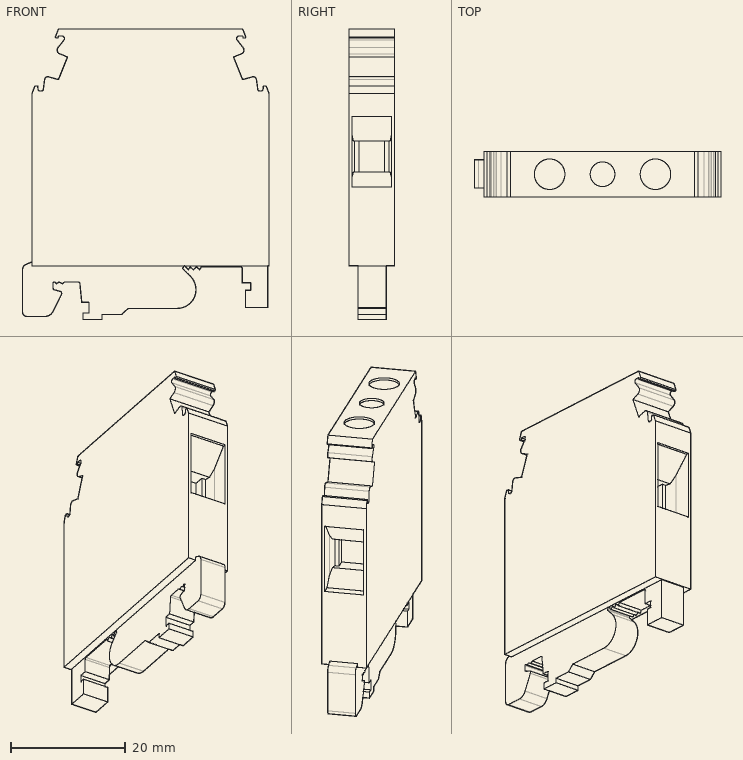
import cadquery as cq
import math


housing_thickness = 8.05
housing_half_length = 20.8
housing_bottom = 9.4
housing_top = 50.95

screw_diameter = 5.35
screw_spacing = 9.25
test_diameter = 4.35
recess_depth = 0.4

entry_width = 7.0
entry_bottom = 23.2
entry_top = 35.55
entry_floor_lip = 1.8
entry_roof_lip = 0.5
throat_bottom = 25.85
throat_top = 31.25
throat_start_depth = 4.75
taper_start_depth = 3.5
taper_end_depth = 5.7
taper_end_width = 6.0
throat_width = 4.5
throat_depth = 7.65

foot_back = 2.55
foot_thickness = 5.0
foot_left = -22.45
foot_bottom = 0
hook_bottom = 0.5
foot_top = 10.3
rail_seat = 6.55
rail_ceiling = 9.2
rail_tooth_height = 0.5
hook_tooth_height = 0.3
latch_x = 4.8
latch_z = 5.25
latch_radius = 3.3
post_right = 20.6
post_bottom = 2.1


def outline_wire(corners):
    """Closed XZ outline from (x, z, radius) corners; a radius of 0 keeps the corner sharp."""
    stretches = []
    for i, (x, z, radius) in enumerate(corners):
        corner = cq.Vector(x, z)
        if radius == 0:
            stretches.append([corner])
            continue
        before = corners[i - 1]
        after = corners[(i + 1) % len(corners)]
        to_before = (cq.Vector(before[0], before[1]) - corner).normalized()
        to_after = (cq.Vector(after[0], after[1]) - corner).normalized()
        half_angle = to_before.getAngle(to_after) / 2
        tangent_length = radius / math.tan(half_angle)
        arc_offset = radius / math.sin(half_angle) - radius
        start = corner + to_before * tangent_length
        middle = corner + (to_before + to_after).normalized() * arc_offset
        end = corner + to_after * tangent_length
        stretches.append([start, middle, end])

    first = stretches[0][0]
    sketch = cq.Workplane("XZ").moveTo(first.x, first.y)
    for i, stretch in enumerate(stretches):
        if i > 0:
            sketch = sketch.lineTo(stretch[0].x, stretch[0].y)
        if len(stretch) > 1:
            sketch = sketch.threePointArc(stretch[1].toTuple()[:2], stretch[2].toTuple()[:2])
    return sketch.close()


def slab(sketch, back, thickness):
    """Extrude an XZ sketch from y = back toward -Y."""
    return sketch.extrude(thickness).translate((0, back, 0))


def mirrored_pair(solid):
    return solid.union(solid.mirror("YZ"))


left_end = [
    (-16.15, housing_top, 0),
    (-16.7, 49.5, 0),
    (-16.55, 49.3, 0),
    (-16.2, 49.3, 0),
    (-16.15, 49.65, 0),
    (-14.65, 49.65, 0.4),
    (-16.8, 46.9, 0.7),
    (-14.55, 46.0, 0),
    (-16.15, 42.05, 0),
    (-18.5, 42.75, 0.6),
    (-18.85, 40.1, 0.25),
    (-19.65, 40.1, 0.25),
    (-19.75, 40.95, 0),
    (-20.25, 40.95, 0),
    (-housing_half_length, 39.6, 0),
    (-housing_half_length, housing_bottom, 0),
]
right_end = [(-x, z, radius) for x, z, radius in reversed(left_end)]
housing = slab(outline_wire(left_end + right_end), housing_thickness / 2, housing_thickness)


def wire_entry():
    """Cutter for the -X end: lipped mouth, sloped roof and floor, tapered sides, narrow throat."""
    mouth = -housing_half_length
    side_profile = (
        cq.Workplane("XZ")
        .moveTo(mouth, entry_bottom)
        .lineTo(mouth + entry_floor_lip, entry_bottom)
        .lineTo(mouth + throat_start_depth, throat_bottom)
        .lineTo(mouth + throat_depth, throat_bottom)
        .lineTo(mouth + throat_depth, throat_top)
        .lineTo(mouth + throat_start_depth, throat_top)
        .lineTo(mouth + entry_roof_lip, entry_top)
        .lineTo(mouth, entry_top)
        .close()
    )
    half_plan = [
        (mouth, entry_width / 2),
        (mouth + taper_start_depth, entry_width / 2),
        (mouth + taper_end_depth, taper_end_width / 2),
        (mouth + taper_end_depth, throat_width / 2),
        (mouth + throat_depth, throat_width / 2),
    ]
    plan = half_plan + [(x, -y) for x, y in reversed(half_plan)]
    plan_prism = cq.Workplane("XY").polyline(plan).close().extrude(housing_top)
    return slab(side_profile, housing_thickness / 2, housing_thickness).intersect(plan_prism)


housing = housing.cut(mirrored_pair(wire_entry()))

for x, diameter in [(-screw_spacing, screw_diameter), (0, test_diameter), (screw_spacing, screw_diameter)]:
    recess = cq.Workplane("XY", origin=(x, 0, housing_top)).circle(diameter / 2).extrude(-recess_depth)
    housing = housing.cut(recess)


def teeth(root_z, height, positions):
    """Saw-tooth corners: each (root x, tip x) pair gives one root and one tip below it."""
    corners = []
    for root_x, tip_x in positions:
        corners.append((root_x, root_z, 0))
        corners.append((tip_x, root_z - height, 0))
    return corners


latch_bottom = latch_z - latch_radius
latch_corner_x = latch_x + latch_radius * (1 + math.sqrt(2))
foot_outline = [
    (-20.35, foot_top, 0),
    (foot_left, 9.4, 1.1),
    (foot_left, hook_bottom, 0.85),
    (-17.5, hook_bottom, 1.75),
    (-15.4, 4.85, 0.4),
    (-17.05, 5.3, 0.25),
    (-17.05, rail_seat, 0.15),
    *teeth(rail_seat, hook_tooth_height, [(-16.8, -16.5), (-16.05, -15.45)]),
    (-15.1, rail_seat, 0),
    (-12.45, rail_seat, 0.25),
    (-12.05, 3.0, 0),
    (-10.8, 3.0, 0),
    (-10.8, 1.15, 0),
    (-11.85, 1.15, 0),
    (-11.85, foot_bottom, 0),
    (-8.5, foot_bottom, 0),
    (-8.5, 0.85, 0),
    (-5.1, 0.85, 0),
    (-3.9, latch_bottom, 0),
    (latch_corner_x, latch_bottom, latch_radius),
    (5.6, 8.95, 0.15),
    (5.95, housing_bottom, 0),
    (6.6, rail_ceiling - rail_tooth_height, 0),
    *teeth(rail_ceiling, rail_tooth_height, [(7.0, 7.5), (8.05, 8.6)]),
    (8.9, rail_ceiling, 0),
    (16.05, rail_ceiling, 0.25),
    (16.05, 6.4, 0),
    (17.5, 6.4, 0),
    (17.5, 5.15, 0),
    (16.6, 5.15, 0),
    (16.6, post_bottom, 0),
    (post_right, post_bottom, 0),
    (post_right, foot_top, 0),
]
foot = slab(outline_wire(foot_outline), foot_back, foot_thickness)

result = housing.union(foot)